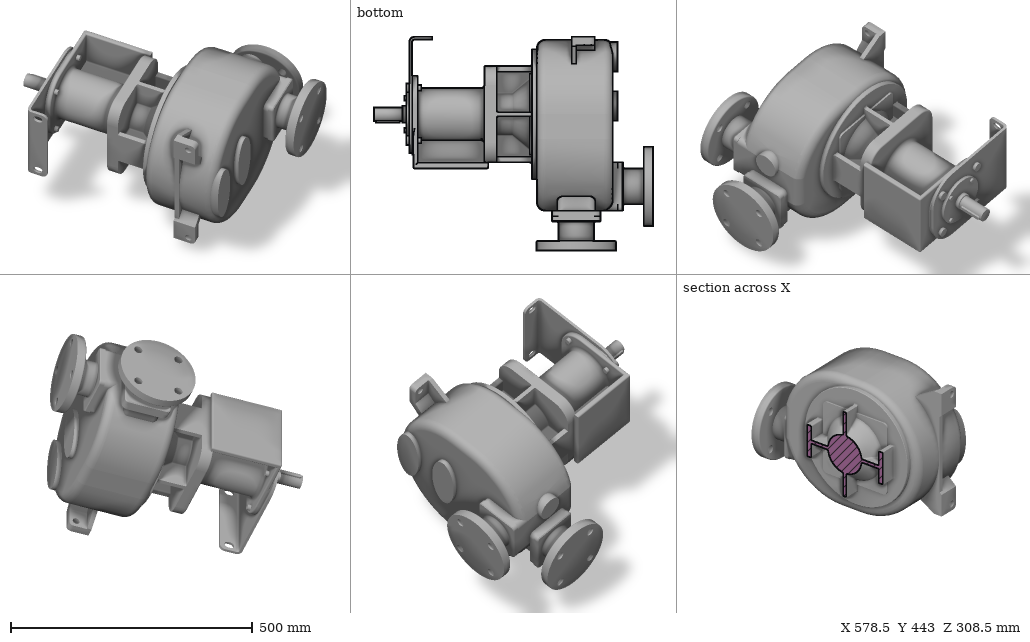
import cadquery as cq
import math


SHAFT_R = 14.25
COLLAR_X, COLLAR_R, COLLAR_CHAMFER = 58.5, 18.0, 1.0
COVER_X, COVER_R = 66.8, 54.5
KEY_START, KEY_END, KEY_WIDTH, KEY_TOP, KEY_END_R = 4.0, 54.0, 8.0, 17.7, 3.92
COVER_BOLT_PITCH, COVER_BOLT_R, COVER_BOLT_HEAD = 66.6, 5.0, 4.2

FOOT_X, SHEET = 73.5, 6.0
FOOT_HALF_Z, FOOT_TOP_Y, FOOT_BOTTOM_Y = 90.0, 80.5, -160.5
FOOT_CORNER_R, LIP_CORNER_R, BEND_R = 62.0, 12.0, 5.0
LIP_END_X = 121.0
LIP_SLOT_X, LIP_SLOT_Z, LIP_SLOT_LENGTH, LIP_SLOT_WIDTH = 100.3, 75.0, 20.5, 15.4
FOOT_BOLT_PITCH, FOOT_BOLT_HEAD_R, FOOT_NUT_R, FOOT_NUT_LENGTH = 109.0, 9.5, 6.0, 7.5

FLANGE_X, FLANGE_END_X = FOOT_X + SHEET, 91.0
FLANGE_HALF_Z, FLANGE_TOP_Y, FLANGE_BOTTOM_Y, FLANGE_CORNER_R = 80.0, 83.5, -80.0, 57.6
FLANGE_EDGE_R = 3.0
BARREL_R, BARREL_FILLET = 54.5, 6.0
TRAY_X, TRAY_END_X = 82.0, 237.0
TRAY_Y, TRAY_WALL, TRAY_FLOOR, TRAY_EDGE_R = 112.5, 12.0, 6.0, 3.3

PLATE_X, PLATE_END_X = 228.7, 254.6
BRACKET_HALF, BRACKET_CORNER_R, BRACKET_EDGE = 100.0, 40.0, 3.0
HUB_R, CONE_X, CONE_R = 43.0, 287.0, 73.0
SIDE_WALL, SIDE_WALL_WIDTH, RIB = 12.0, 76.0, 9.0
PAD_HALF, PAD_CORNER_R, PAD_THICKNESS = 84.0, 10.0, 4.0
WELL_R, BRACKET_ROOT_R = 3.0, 4.0

COVER_RING_X, COVER_RING_R, COVER_RING_CHAMFER = 327.3, 135.0, 1.0
CASING_X, CASING_END_X = 337.5, 495.0
CASING_R, CASING_Z, CASING_SHIFT_Y, CASING_FLAT_Y = 154.25, -9.75, 51.0, 200.0
CASING_EDGE_R = 18.0
COVER_BOSS_X, COVER_BOSS_HALF_Y, COVER_BOSS_HALF_Z = 505.0, 31.0, 65.0
COVER_BOSS_YS = (-17.0, -119.0)

PORT_FLANGE_R, PORT_FLANGE_THICKNESS, PORT_FLANGE_EDGE = 82.5, 20.0, 3.0
PORT_PCD, PORT_HOLE_D, PORT_HOLE_COUNT, PORT_HOLE_START = 125.0, 18.0, 4, 45
PIPE_R, MOUNT_SIZE, MOUNT_THICKNESS, MOUNT_CORNER_R, MOUNT_EDGE = 37.25, 101.0, 12.0, 8.0, 2.0
NECK_SIZE, NECK_CORNER_R, PIPE_FOOT_R = 78.0, 12.0, 2.0
OUTLET_X, OUTLET_Z, OUTLET_FACE_Y, OUTLET_MOUNT_Y = 419.2, -69.0, 282.5, 223.0
OUTLET_NECK, OUTLET_NECK_ROOT_Y = 11.0, 100.0
INLET_Y, INLET_Z, INLET_FACE_X, INLET_MOUNT_X = 149.5, CASING_Z, 578.5, 517.0
PLUG_Z, PLUG_R, PLUG_END_Y, PLUG_ROOT_Y = 30.5, 26.5, 210.0, 150.0

LUG_X, LUG_END_X, WEB = 409.5, 458.0, 10.0
LUG_FACE_Y, LUG_HALF_Z, LUG_SHOULDER_Y = FOOT_BOTTOM_Y, 144.5, -141.0
WEB_TIP_Y, WEB_TIP_Z, WEB_RECESS_Y = -91.0, 115.5, -155.5
LUG_PAD_BACK_Y, LUG_RAMP_OUTER_Z = -143.0, 100.0
LUG_INNER_Z, LUG_ROOT_Y, LUG_ROOT_INNER_Z, LUG_ROOT_OUTER_Z = 93.5, -125.0, 62.0, 83.0
LUG_CORNER_R, LUG_HOLE_D, LUG_HOLE_X, LUG_HOLE_Z = 10.0, 15.0, 443.0, 129.4

MARGIN = 1.0


def across(x):
    """Workplane square to the shaft at x; its local axes are Y and Z."""
    return cq.Workplane("YZ", origin=(x, 0, 0))


def disc(x0, x1, radius):
    return across(x0).circle(radius).extrude(x1 - x0)


def slab(x0, x1, y0, y1, z0, z1):
    return cq.Workplane("XY").box(x1 - x0, y1 - y0, z1 - z0, centered=False).translate((x0, y0, z0))


def square_of_studs(x0, x1, pitch, radius):
    """Four round studs along X on the corners of a square around the shaft."""
    corners = across(x0).rect(pitch, pitch, forConstruction=True).vertices()
    return corners.circle(radius).extrude(x1 - x0)


def make_shaft():
    shaft = disc(0, COVER_X, SHAFT_R)
    shaft = shaft.union(disc(COLLAR_X, COVER_X, COLLAR_R).faces("<X").chamfer(COLLAR_CHAMFER))
    key = slab(KEY_START, KEY_END, 0, KEY_TOP, -KEY_WIDTH / 2, KEY_WIDTH / 2)
    key = key.edges("|Y").fillet(KEY_END_R)
    cover = disc(COVER_X, FOOT_X, COVER_R)
    bolts = square_of_studs(COVER_X - COVER_BOLT_HEAD, FOOT_X, COVER_BOLT_PITCH, COVER_BOLT_R)
    return shaft.union(key).union(cover).union(bolts)


def make_front_foot():
    plate = slab(FOOT_X, FOOT_X + SHEET, FOOT_BOTTOM_Y, FOOT_TOP_Y, -FOOT_HALF_Z, FOOT_HALF_Z)
    plate = plate.edges("|X and >Y").fillet(FOOT_CORNER_R)
    lip = slab(FOOT_X, LIP_END_X, FOOT_BOTTOM_Y, FOOT_BOTTOM_Y + SHEET, -FOOT_HALF_Z, FOOT_HALF_Z)
    lip = lip.edges("|Y and >X").fillet(LIP_CORNER_R)
    slots = (
        cq.Workplane("XZ", origin=(0, FOOT_BOTTOM_Y + SHEET, 0))
        .pushPoints([(LIP_SLOT_X, LIP_SLOT_Z), (LIP_SLOT_X, -LIP_SLOT_Z)])
        .slot2D(LIP_SLOT_LENGTH, LIP_SLOT_WIDTH)
        .extrude(SHEET)
    )
    foot = plate.union(lip.cut(slots))
    inner_bend = cq.selectors.NearestToPointSelector((FOOT_X + SHEET, FOOT_BOTTOM_Y + SHEET, 0))
    foot = foot.edges("|Z").edges(inner_bend).fillet(BEND_R)
    outer_bend = cq.selectors.NearestToPointSelector((FOOT_X, FOOT_BOTTOM_Y, 0))
    foot = foot.edges("|Z").edges(outer_bend).fillet(BEND_R + SHEET)
    heads = square_of_studs(COVER_X, FOOT_X, FOOT_BOLT_PITCH, FOOT_BOLT_HEAD_R)
    return foot.union(heads)


def make_housing():
    flange = slab(
        FLANGE_X, FLANGE_END_X, FLANGE_BOTTOM_Y, FLANGE_TOP_Y, -FLANGE_HALF_Z, FLANGE_HALF_Z
    )
    flange = flange.edges("|X").fillet(FLANGE_CORNER_R).faces(">X").edges().fillet(FLANGE_EDGE_R)
    nut_end_x = FLANGE_END_X + FOOT_NUT_LENGTH
    nuts = square_of_studs(FLANGE_END_X, nut_end_x, FOOT_BOLT_PITCH, FOOT_NUT_R)
    return flange.union(make_barrel()).union(make_tray()).union(nuts)


def make_barrel():
    """Round barrel that flares out with a fillet at the flange and at the bracket plate."""
    foot_r = BARREL_R + BARREL_FILLET
    inset = BARREL_FILLET * (1 - math.sqrt(0.5))
    return (
        cq.Workplane("XY")
        .moveTo(FLANGE_END_X, 0)
        .lineTo(FLANGE_END_X, foot_r)
        .threePointArc(
            (FLANGE_END_X + inset, BARREL_R + inset), (FLANGE_END_X + BARREL_FILLET, BARREL_R)
        )
        .lineTo(PLATE_X - BARREL_FILLET, BARREL_R)
        .threePointArc((PLATE_X - inset, BARREL_R + inset), (PLATE_X, foot_r))
        .lineTo(PLATE_X, 0)
        .close()
        .revolve(360, (0, 0, 0), (1, 0, 0))
    )


def make_tray():
    """Guard beside the barrel: back wall, end wall and a level floor, open above and below."""
    inner_y = TRAY_Y - TRAY_WALL
    tray = slab(TRAY_X, TRAY_END_X, 0, TRAY_Y, -FLANGE_HALF_Z, FLANGE_HALF_Z)
    tray = tray.faces("<X or >Y").edges("not(<Y)").fillet(TRAY_EDGE_R)
    tray = tray.cut(slab(PLATE_X, TRAY_END_X, 0, inner_y, -FLANGE_HALF_Z, FLANGE_HALF_Z))
    for z0, z1 in ((0, FLANGE_HALF_Z), (-FLANGE_HALF_Z, -TRAY_FLOOR)):
        floor_side = "<Z" if z0 == 0 else ">Z"
        pocket = slab(FLANGE_END_X, PLATE_X, 0, inner_y, z0, z1)
        tray = tray.cut(pocket.edges("|X and >Y").edges(floor_side).fillet(TRAY_EDGE_R))
    for rim in (-FLANGE_HALF_Z, FLANGE_HALF_Z):
        inner_rim = cq.selectors.BoxSelector(
            (FLANGE_END_X - MARGIN, -MARGIN, rim - MARGIN),
            (TRAY_END_X + MARGIN, inner_y + MARGIN, rim + MARGIN),
            boundingbox=True,
        )
        tray = tray.edges(inner_rim).fillet(TRAY_EDGE_R)
    return tray


def rounded_square(x0, x1, half, corner_r):
    return slab(x0, x1, -half, half, -half, half).edges("|X").fillet(corner_r)


def make_hub():
    """Round hub that opens into a cone towards the casing."""
    return (
        cq.Workplane("XY")
        .moveTo(PLATE_X + BRACKET_EDGE, 0)
        .lineTo(PLATE_X + BRACKET_EDGE, HUB_R)
        .lineTo(CONE_X, HUB_R)
        .lineTo(COVER_RING_X - PAD_THICKNESS, CONE_R)
        .lineTo(COVER_RING_X, CONE_R)
        .lineTo(COVER_RING_X, 0)
        .close()
        .revolve(360, (0, 0, 0), (1, 0, 0))
    )


def make_ribs(hub):
    """Upright and level ribs crossing on the shaft axis, with fillets along the corners between them."""
    inner_half = BRACKET_HALF - SIDE_WALL
    ribs = slab(PLATE_END_X, COVER_RING_X, -inner_half, inner_half, -BRACKET_HALF, BRACKET_HALF)
    well = slab(PLATE_END_X, COVER_RING_X, RIB / 2, inner_half, RIB / 2, BRACKET_HALF).cut(hub)
    well = well.edges("not (>X or >Y or >Z)").fillet(WELL_R)
    for turned in (well, well.mirror("XZ")):
        ribs = ribs.cut(turned).cut(turned.mirror("XY"))
    return ribs


def make_bracket():
    plate = rounded_square(PLATE_X, PLATE_END_X, BRACKET_HALF, BRACKET_CORNER_R)
    plate = plate.faces("<X").edges().fillet(BRACKET_EDGE)
    hub = make_hub()
    pad = rounded_square(COVER_RING_X - PAD_THICKNESS, COVER_RING_X, PAD_HALF, PAD_CORNER_R)
    bracket = plate.union(make_ribs(hub)).union(hub).union(pad)
    for side in (-1, 1):
        wall = across(PLATE_END_X).center(side * (BRACKET_HALF - SIDE_WALL / 2), 0)
        wall = wall.rect(SIDE_WALL, SIDE_WALL_WIDTH).extrude(COVER_RING_X - PLATE_END_X)
        inner_side = "<Y" if side > 0 else ">Y"
        bracket = bracket.union(wall.faces(inner_side).edges("|X").fillet(WELL_R))
    ring = disc(COVER_RING_X, CASING_X, COVER_RING_R).faces("<X").chamfer(COVER_RING_CHAMFER)
    bracket = bracket.union(ring)
    for side in (-1, 1):
        wall_root = (COVER_RING_X, side * BRACKET_HALF, 0)
        rib_root = (COVER_RING_X, 0, side * BRACKET_HALF)
        for root in (wall_root, rib_root):
            nearest = cq.selectors.NearestToPointSelector(root)
            bracket = bracket.edges(nearest).fillet(BRACKET_ROOT_R)
    return bracket


def make_casing():
    flat_half_z = math.sqrt(CASING_R**2 - (CASING_FLAT_Y - CASING_SHIFT_Y) ** 2)
    top, bottom = CASING_Z + CASING_R, CASING_Z - CASING_R
    arc_angle = (math.pi / 2 + math.asin(flat_half_z / CASING_R)) / 2
    arc_y = CASING_SHIFT_Y + CASING_R * math.cos(arc_angle)
    arc_rise = CASING_R * math.sin(arc_angle)
    casing = (
        across(CASING_X)
        .moveTo(0, top)
        .threePointArc((-CASING_R, CASING_Z), (0, bottom))
        .lineTo(CASING_SHIFT_Y, bottom)
        .threePointArc((arc_y, CASING_Z - arc_rise), (CASING_FLAT_Y, CASING_Z - flat_half_z))
        .lineTo(CASING_FLAT_Y, CASING_Z + flat_half_z)
        .threePointArc((arc_y, CASING_Z + arc_rise), (CASING_SHIFT_Y, top))
        .close()
        .extrude(CASING_END_X - CASING_X)
    )
    casing = casing.faces("<X or >X").edges().fillet(CASING_EDGE_R)
    bosses = (
        across(CASING_END_X - CASING_EDGE_R)
        .pushPoints([(y, CASING_Z) for y in COVER_BOSS_YS])
        .ellipse(COVER_BOSS_HALF_Y, COVER_BOSS_HALF_Z)
        .extrude(COVER_BOSS_X - CASING_END_X + CASING_EDGE_R)
    )
    plug = cq.Workplane("XZ", origin=(OUTLET_X, PLUG_END_Y, PLUG_Z)).circle(PLUG_R)
    return casing.union(bosses).union(plug.extrude(PLUG_END_Y - PLUG_ROOT_Y))


def make_port(face_to_mount, neck_length, root_length):
    """Flanged pipe pointing up +Z; the square mounting plate's front face lies at z = 0."""
    plate = (
        cq.Workplane("XY")
        .rect(MOUNT_SIZE, MOUNT_SIZE)
        .extrude(-MOUNT_THICKNESS)
        .edges("|Z")
        .fillet(MOUNT_CORNER_R)
        .faces(">Z")
        .edges()
        .chamfer(MOUNT_EDGE)
    )
    neck = cq.Workplane("XY", origin=(0, 0, -MOUNT_THICKNESS)).rect(MOUNT_SIZE, MOUNT_SIZE)
    neck = neck.extrude(-neck_length).edges("|Z").fillet(NECK_CORNER_R)
    root = cq.Workplane("XY").rect(NECK_SIZE, NECK_SIZE).extrude(-root_length)
    root = root.edges("|Z").fillet(NECK_CORNER_R)
    pipe = cq.Workplane("XY").circle(PIPE_R).extrude(face_to_mount)
    flange = (
        cq.Workplane("XY", origin=(0, 0, face_to_mount - PORT_FLANGE_THICKNESS))
        .circle(PORT_FLANGE_R)
        .extrude(PORT_FLANGE_THICKNESS)
        .faces("<Z")
        .edges()
        .fillet(PORT_FLANGE_EDGE)
    )
    holes = (
        cq.Workplane("XY", origin=(0, 0, face_to_mount - PORT_FLANGE_THICKNESS))
        .polarArray(PORT_PCD / 2, PORT_HOLE_START, 360, PORT_HOLE_COUNT)
        .circle(PORT_HOLE_D / 2)
        .extrude(PORT_FLANGE_THICKNESS)
    )
    body = plate.union(neck).union(root).union(pipe)
    reach = PIPE_R + MARGIN
    pipe_foot = cq.selectors.BoxSelector(
        (-reach, -reach, -MARGIN), (reach, reach, MARGIN), boundingbox=True
    )
    body = body.edges(pipe_foot).fillet(PIPE_FOOT_R)
    return body.union(flange.cut(holes))


def make_outlet():
    port = make_port(
        OUTLET_FACE_Y - OUTLET_MOUNT_Y, OUTLET_NECK, OUTLET_MOUNT_Y - OUTLET_NECK_ROOT_Y
    )
    return port.rotate((0, 0, 0), (1, 0, 0), -90).translate((OUTLET_X, OUTLET_MOUNT_Y, OUTLET_Z))


def make_inlet():
    depth = INLET_MOUNT_X - CASING_END_X
    neck_length = depth - MOUNT_THICKNESS + CASING_EDGE_R
    port = make_port(INLET_FACE_X - INLET_MOUNT_X, neck_length, depth)
    return port.rotate((0, 0, 0), (0, 1, 0), 90).translate((INLET_MOUNT_X, INLET_Y, INLET_Z))


def make_casing_feet():
    """Upright web with a drilled pad and a sloping ramp at its upper and lower end."""
    web = (
        across(LUG_X)
        .polyline([
            (0, LUG_HALF_Z / 2),
            (WEB_TIP_Y, WEB_TIP_Z),
            (LUG_SHOULDER_Y, LUG_HALF_Z),
            (LUG_FACE_Y, LUG_HALF_Z),
            (LUG_FACE_Y, LUG_INNER_Z),
            (WEB_RECESS_Y, LUG_INNER_Z),
            (WEB_RECESS_Y, 0),
            (0, 0),
        ])
        .close()
        .extrude(WEB)
    )
    lug = (
        across(LUG_X)
        .polyline([
            (LUG_FACE_Y, LUG_HALF_Z),
            (LUG_PAD_BACK_Y, LUG_HALF_Z),
            (LUG_PAD_BACK_Y, LUG_RAMP_OUTER_Z),
            (LUG_ROOT_Y, LUG_ROOT_OUTER_Z),
            (LUG_ROOT_Y, LUG_ROOT_INNER_Z),
            (LUG_FACE_Y, LUG_INNER_Z),
        ])
        .close()
        .extrude(LUG_END_X - LUG_X)
        .edges("|Y and >X and >Z")
        .fillet(LUG_CORNER_R)
    )
    hole = (
        cq.Workplane("XZ", origin=(LUG_HOLE_X, LUG_PAD_BACK_Y, LUG_HOLE_Z))
        .circle(LUG_HOLE_D / 2)
        .extrude(LUG_PAD_BACK_Y - LUG_FACE_Y)
    )
    upper = web.union(lug).cut(hole)
    return upper.union(upper.mirror("XY"))


result = (
    make_casing()
    .union(make_bracket())
    .union(make_housing())
    .union(make_front_foot())
    .union(make_shaft())
    .union(make_casing_feet())
    .union(make_outlet())
    .union(make_inlet())
)